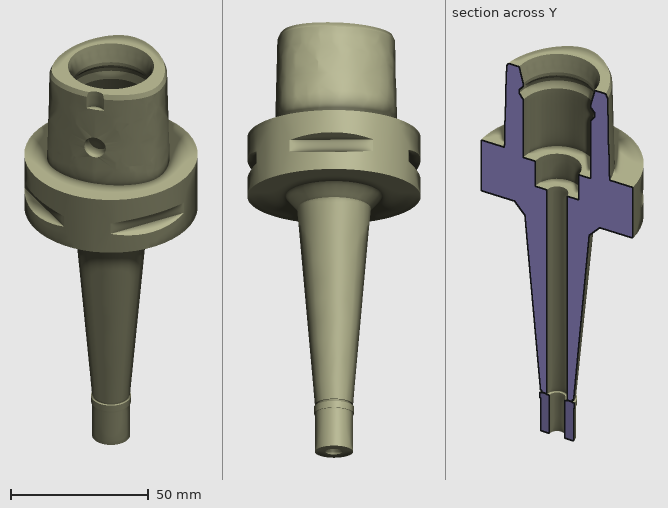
import cadquery as cq
import math


overall_length = 158

taper_height = 37.6
taper_base_diameter = 44.5
taper_base_radius = taper_base_diameter / 2
taper_slope = 1 / 40
lobe_height = 1.3
top_chamfer_height = 1.7
top_chamfer_width = 0.8
section_points = 24

flange_diameter = 63.0
flange_radius = flange_diameter / 2
flange_thickness = 22.6
notch_count = 4
first_notch_angle = 45
notch_floor_distance = 27.6
notch_floor_height = 4.5
notch_mouth_height = 7.6
notch_z = -12.3

shoulder_radius = 17.7
neck_top_radius = 13.5
neck_top_z = -27.3
neck_end_radius = 7.0
neck_end_z = -102.4
relief_radius = 6.5
relief_height = 1.0

nose_bottom_z = taper_height - overall_length
nose_top_z = neck_end_z - relief_height
nose_radius = 7.0
collar_radius = 7.3
collar_height = 2.5
nose_bore_radius = 3.2

mouth_radius = 15.6
bore_radius = 13.9
groove_radius = 15.6
mouth_depth = 7.0
lip_end_depth = 8.2
groove_roof_depth = 10.3
groove_floor_depth = 11.7
bore_start_depth = 14.0
bore_depth = 39.5
counterbore_radius = 9.0
counterbore_depth = 50.5
coolant_radius = 4.1

slot_radius = 4.0
slot_axis_distance = 22.1
slot_depth = 6.5
side_hole_radius = 4.1
side_hole_depth_from_top = 22.5
side_hole_floor_distance = 14.9


def polygon_wire(mean_radius, z):
    """Closed three-lobed curve of constant width, with one lobe pointing to +Y."""
    points = []
    for i in range(section_points):
        angle = 2 * math.pi * i / section_points - math.pi / 2
        lobe_angle = 3 * (angle - math.pi / 2)
        reach = mean_radius + lobe_height * math.cos(lobe_angle)
        drift = -3 * lobe_height * math.sin(lobe_angle)
        x = reach * math.cos(angle) - drift * math.sin(angle)
        y = reach * math.sin(angle) + drift * math.cos(angle)
        points.append(cq.Vector(x, y, z))
    return cq.Wire.assembleEdges([cq.Edge.makeSpline(points, periodic=True)])


def taper_shank():
    """Polygonal taper with a chamfered upper edge."""
    chamfer_z = taper_height - top_chamfer_height
    chamfer_radius = taper_base_radius - taper_slope * chamfer_z
    base = polygon_wire(taper_base_radius, 0)
    below_chamfer = polygon_wire(chamfer_radius, chamfer_z)
    top = polygon_wire(chamfer_radius - top_chamfer_width, taper_height)
    return cq.Workplane(cq.Solid.makeLoft([base, below_chamfer, top], True))


def revolved(profile):
    """Solid of revolution about Z from (radius, z) points."""
    return cq.Workplane("XZ").polyline(profile).close().revolve(360, (0, 0), (0, 1))


def flange_and_neck():
    """Flange, sloped shoulder, conical neck and the small relief at its end."""
    return revolved([
        (0, 0),
        (flange_radius, 0),
        (flange_radius, -flange_thickness),
        (shoulder_radius, -flange_thickness),
        (neck_top_radius, neck_top_z),
        (neck_end_radius, neck_end_z),
        (relief_radius, neck_end_z),
        (relief_radius, nose_top_z),
        (0, nose_top_z),
    ])


def holder_bore():
    """Stepped bore through the whole holder."""
    return revolved([
        (0, taper_height),
        (mouth_radius, taper_height),
        (bore_radius, taper_height - mouth_depth),
        (bore_radius, taper_height - lip_end_depth),
        (groove_radius, taper_height - groove_roof_depth),
        (groove_radius, taper_height - groove_floor_depth),
        (bore_radius, taper_height - bore_start_depth),
        (bore_radius, taper_height - bore_depth),
        (counterbore_radius, taper_height - bore_depth),
        (counterbore_radius, taper_height - counterbore_depth),
        (coolant_radius, taper_height - counterbore_depth),
        (coolant_radius, nose_top_z),
        (0, nose_top_z),
    ])


def gripper_notch(angle):
    """Flat-floored notch with flaring flanks, cut into the rim at the given angle."""
    rim_half = notch_mouth_height / 2
    floor_half = notch_floor_height / 2
    profile = [
        (notch_floor_distance, notch_z - floor_half),
        (flange_radius, notch_z - rim_half),
        (flange_radius, notch_z + rim_half),
        (notch_floor_distance, notch_z + floor_half),
    ]
    notch = cq.Workplane("XZ").polyline(profile).close().extrude(flange_radius / 2, both=True)
    return notch.rotate((0, 0, 0), (0, 0, 1), angle)


def orientation_slot():
    """Round-backed slot down from the top edge."""
    slot = cq.Workplane("XY", origin=(0, -slot_axis_distance, taper_height - slot_depth))
    return slot.circle(slot_radius).extrude(slot_depth)


def side_hole():
    """Blind flat-bottomed hole running along Y."""
    hole_z = taper_height - side_hole_depth_from_top
    floor = cq.Workplane("XZ", origin=(0, -side_hole_floor_distance, hole_z))
    return floor.circle(side_hole_radius).extrude(flange_radius - side_hole_floor_distance)


def make_holder():
    """Taper shank, flange and neck in one piece, with all their cuts."""
    holder = flange_and_neck().union(taper_shank()).cut(holder_bore())
    for i in range(notch_count):
        holder = holder.cut(gripper_notch(first_notch_angle + i * 360 / notch_count))
    return holder.cut(orientation_slot()).cut(side_hole())


def make_nose():
    """Collared tip that butts against the end of the neck and continues the coolant bore."""
    collar_bottom_z = nose_top_z - collar_height
    return revolved([
        (nose_bore_radius, nose_top_z),
        (collar_radius, nose_top_z),
        (collar_radius, collar_bottom_z),
        (nose_radius, collar_bottom_z),
        (nose_radius, nose_bottom_z),
        (nose_bore_radius, nose_bottom_z),
    ])


holder = make_holder()
nose = make_nose()
result = cq.Compound.makeCompound([holder.solids().val(), nose.solids().val()])